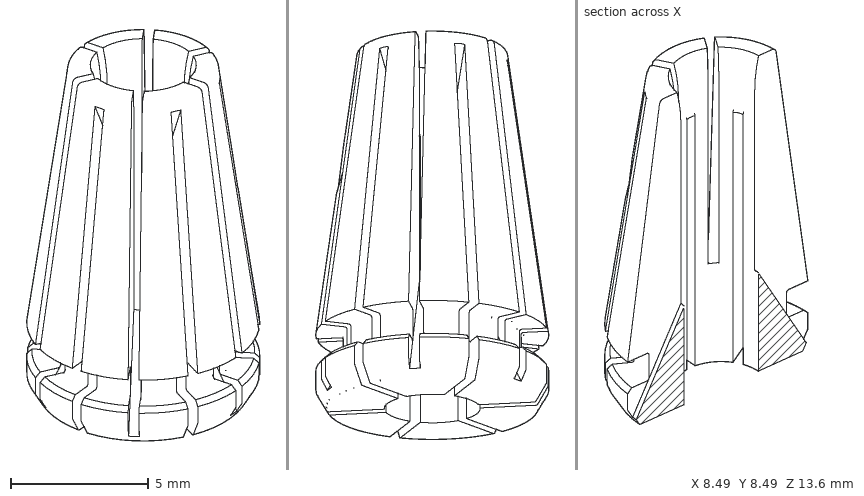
import cadquery as cq
import math

length = 13.6
outer_radius = 8.5 / 2
taper_angle = 8.0

flange_height = 1.6
flange_top_chamfer = 0.19
flange_bottom_chamfer_height = 0.71
flange_bottom_chamfer_width = 0.41
groove_width = 1.2
groove_radius = 3.25
small_fillet = 0.1
nose_fillet = 0.2

bore_radius = 3.5 / 2
mouth_radius = 1.93
mouth_depth = 1.47

slot_width = 0.4
slots_per_end = 6
slot_pitch = 360 / slots_per_end
nose_slot_inner_z = 4.31
nose_slot_outer_z = 0.3
flange_slot_inner_z = 10.93
flange_slot_outer_z = 13.11
slot_overrun = 1.36

cone_base_z = flange_height + groove_width
cone_slope = math.tan(math.radians(taper_angle))


def cone_radius(z):
    return outer_radius - (z - cone_base_z) * cone_slope


def flange_chamfer_radius(z):
    fraction = z / flange_bottom_chamfer_height
    return outer_radius - flange_bottom_chamfer_width * (1 - fraction)


def fillet_ring(body, radius, z):
    """Round the circular edge of the given radius at height z."""
    margin = small_fillet / 2
    reach = radius + margin
    ring = cq.selectors.BoxSelector(
        (-reach, -reach, z - margin),
        (reach, reach, z + margin),
        boundingbox=True,
    )
    return body.edges(ring).fillet(small_fillet)


def make_outer_body():
    """Solid body of revolution: flange, groove and tapered sleeve."""
    profile = [
        (0, 0),
        (flange_chamfer_radius(0), 0),
        (outer_radius, flange_bottom_chamfer_height),
        (outer_radius, flange_height - flange_top_chamfer),
        (outer_radius - flange_top_chamfer, flange_height),
        (groove_radius, flange_height),
        (groove_radius, cone_base_z),
        (outer_radius, cone_base_z),
        (cone_radius(length), length),
        (0, length),
    ]
    body = cq.Workplane("XZ").polyline(profile).close().revolve(360, (0, 0), (0, 1))
    body = body.faces(">Z").edges().fillet(nose_fillet)
    for radius, z in [
        (flange_chamfer_radius(0), 0),
        (outer_radius, flange_bottom_chamfer_height),
        (groove_radius, flange_height),
        (groove_radius, cone_base_z),
    ]:
        body = fillet_ring(body, radius, z)
    return body


def make_bore():
    """Straight bore whose wall curves smoothly outwards at the narrow end."""
    return (
        cq.Workplane("XZ")
        .lineTo(bore_radius, 0)
        .lineTo(bore_radius, length - mouth_depth)
        .tangentArcPoint((mouth_radius, length), relative=False)
        .lineTo(0, length)
        .close()
        .revolve(360, (0, 0), (0, 1))
    )


def make_slot(inner, outer, open_z, angle):
    """Radial slot from open_z to the sloping floor through the (radius, z) points inner and outer."""
    floor_slope = (outer[1] - inner[1]) / (outer[0] - inner[0])
    far_radius = outer_radius + slot_overrun
    floor_z_at_axis = inner[1] - inner[0] * floor_slope
    floor_z_at_far_radius = floor_z_at_axis + far_radius * floor_slope
    profile = [
        (0, floor_z_at_axis),
        (far_radius, floor_z_at_far_radius),
        (far_radius, open_z),
        (0, open_z),
    ]
    slot = cq.Workplane("XZ").polyline(profile).close().extrude(slot_width / 2, both=True)
    return slot.rotate((0, 0, 0), (0, 0, 1), angle)


nose_slot_inner = (bore_radius, nose_slot_inner_z)
nose_slot_outer = (flange_chamfer_radius(nose_slot_outer_z), nose_slot_outer_z)
flange_slot_inner = (bore_radius, flange_slot_inner_z)
flange_slot_outer = (cone_radius(flange_slot_outer_z), flange_slot_outer_z)

nose_end_z = length + slot_overrun
result = make_outer_body().cut(make_bore())
for index in range(slots_per_end):
    flange_slot_angle = index * slot_pitch
    nose_slot_angle = flange_slot_angle + slot_pitch / 2
    result = result.cut(make_slot(flange_slot_inner, flange_slot_outer, -slot_overrun, flange_slot_angle))
    result = result.cut(make_slot(nose_slot_inner, nose_slot_outer, nose_end_z, nose_slot_angle))